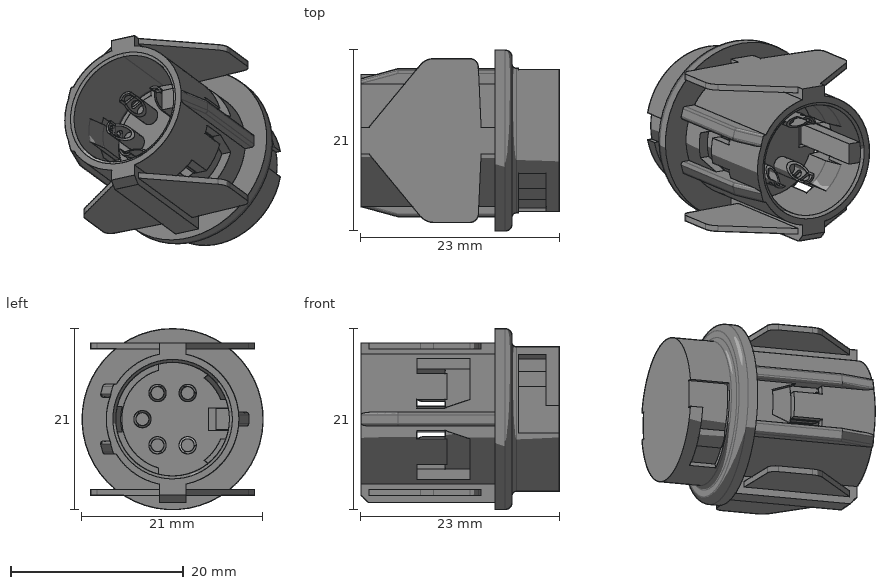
import cadquery as cq
import math

length = 23.0
flange_start = 15.52
flange_end = 17.53
flange_radius = 21.0 / 2
flange_round = 0.83
collar_round = 0.48
sleeve_radius = 16.8 / 2
barrel_radius = 7.68

mouth_radius = 6.92
mouth_depth = 0.23
bore_radius = 6.58
floor_x = 9.78
step_radius = 5.89
step_y = 1.6
step_depth = 0.2

groove_start = 18.26
groove_end = 21.48
groove_radius = 7.82
entry_half_width = 1.6
track_angle = 63.0
bump_angle = 37.0
bump_radius = 1.77
bump_offset = 6.35

spine_half_width = 3.05 / 2
spine_top = 8.83
spine_bottom = -9.65
spine_chamfer = 0.85
wing_thickness = 0.7
wing_half_span = 9.5
wing_root_front = 0.92
wing_root_rear = 13.94
wing_tip_front = 7.5
wing_tip_rear = 13.57
wing_front_round = 2.0
wing_rear_round = 1.0

rib_ramp_length = 4.3
rib_ramp_drop = 1.17
rib_edge_round = 0.32
rib_root = 6.2
front_rib_height = 8.83
front_rib_half_width = 0.8
back_rib_low = 2.53
back_rib_high = 4.05
back_rib_height_low = 8.45
back_rib_height_high = 8.03

window_start = 6.49
window_taper = 9.65
window_end = 12.63
arm_tip = 9.98
front_window_low = 1.29
front_window_y = 3.13
front_arm_low = 2.28
front_arm_high = 5.27
back_window_half = back_rib_low
back_arm_half = 1.5

hook_start = 3.85
hook_peak = 6.2
hook_radius = 6.03
hook_half_width = 2.92 / 2
front_hook_angle = 141.5
front_hook_reach = 2.3

contact_circle = 3.5
contact_angles = (0, 60, 120, -60, -120)
contact_radius = 2.0 / 2
cup_radius = 1.5 / 2
cup_start = 4.23
cup_bottom = 8.05
cup_lip = 0.45
cup_lip_end = 5.4
cup_closed = 7.43
cup_hole_radius = 1.2 / 2
cup_hole_places = (5.2, 6.95)

key_half_width = 1.22
key_inner = 5.01
key_slot_half_width = 1.29
key_slot_inner = 4.19
key_slot_depth = 0.92

overlap = 0.23
reach = 2 * flange_radius


def disc(x, radius, depth):
    return cq.Workplane("YZ", origin=(x, 0, 0)).circle(radius).extrude(depth)


def box(x, y, z):
    """Box between the given (low, high) limits on each axis."""
    size = (x[1] - x[0], y[1] - y[0], z[1] - z[0])
    return cq.Workplane("XY").box(*size, centered=False).translate((x[0], y[0], z[0]))


def revolve_about_x(outline):
    return outline.close().revolve(360, (0, 0, 0), (1, 0, 0))


def about_axis(shape, angle):
    return shape.rotate((0, 0, 0), (1, 0, 0), angle)


def shell_body():
    outline = (
        cq.Workplane("XZ")
        .lineTo(0, barrel_radius)
        .lineTo(flange_start, barrel_radius)
        .lineTo(flange_start, flange_radius)
        .lineTo(flange_end - flange_round, flange_radius)
        .radiusArc((flange_end, flange_radius - flange_round), flange_round)
        .lineTo(flange_end, sleeve_radius + collar_round)
        .radiusArc((flange_end + collar_round, sleeve_radius), -collar_round)
        .lineTo(length, sleeve_radius)
        .lineTo(length, 0)
    )
    return revolve_about_x(outline)


def socket_bore():
    outline = (
        cq.Workplane("XZ")
        .lineTo(0, mouth_radius)
        .lineTo(mouth_depth, bore_radius)
        .lineTo(floor_x, bore_radius)
        .lineTo(floor_x, 0)
    )
    return revolve_about_x(outline)


def insert_step():
    """Shallow ring sector sunk around the +Y part of the insert face."""
    ring = disc(floor_x, bore_radius, step_depth).cut(disc(floor_x, step_radius, step_depth))
    return ring.intersect(box((0, length), (step_y, reach), (-reach, reach)))


def bayonet_groove():
    """L-shaped groove on the -Y side: an entry from the +X end and a track with a detent bump."""
    wall = math.radians(track_angle)
    track = (
        cq.Workplane("YZ", origin=(groove_start, 0, 0))
        .lineTo(0, -entry_half_width)
        .lineTo(-reach, -entry_half_width)
        .lineTo(-reach, reach * math.sin(wall))
        .lineTo(-reach * math.cos(wall), reach * math.sin(wall))
        .close()
        .extrude(groove_end - groove_start)
    )
    entry = box((groove_start, length), (-reach, 0), (-entry_half_width, entry_half_width))
    bump = disc(groove_start, bump_radius, length).translate((0, -bump_offset, 0))
    core = disc(groove_start, groove_radius, length).union(about_axis(bump, -bump_angle))
    return track.union(entry).cut(core)


def spine():
    bar = box((0, flange_start), (-spine_half_width, spine_half_width), (spine_bottom, spine_top))
    return bar.faces("<X").edges("<Z").chamfer(spine_chamfer)


def wing_plate():
    half_outline = [
        (wing_root_front, spine_half_width),
        (wing_tip_front, wing_half_span),
        (wing_tip_rear, wing_half_span),
        (wing_root_rear, spine_half_width),
    ]
    mirrored = [(x, -y) for x, y in reversed(half_outline)]
    plate = cq.Workplane("XY").polyline(half_outline + mirrored).close().extrude(wing_thickness)
    for x, radius in ((wing_tip_front, wing_front_round), (wing_tip_rear, wing_rear_round)):
        at_x = cq.selectors.BoxSelector((x - overlap, -reach, -reach), (x + overlap, reach, reach))
        plate = plate.edges("|Z").edges(at_x).fillet(radius)
    return plate


def guide_rib(z_low, z_high, height_low, height_high):
    """Rib on the +Y side with rounded outer edges, sinking toward the mouth at its front end."""
    straight = (
        cq.Workplane("YZ", origin=(rib_ramp_length, 0, 0))
        .moveTo(rib_root, z_low)
        .lineTo(height_low, z_low)
        .lineTo(height_high, z_high)
        .lineTo(rib_root, z_high)
        .close()
        .extrude(flange_start - rib_ramp_length)
    )
    outer_edges = cq.selectors.BoxSelector((0, rib_root + overlap, -reach), (length, reach, reach))
    straight = straight.edges("|X").edges(outer_edges).fillet(rib_edge_round)
    front_wire = straight.faces("<X").wires().val()
    ramp = cq.Solid.extrudeLinear(front_wire, [], cq.Vector(-rib_ramp_length, -rib_ramp_drop, 0))
    return straight.union(cq.Workplane(obj=ramp)).cut(socket_bore())


def front_window():
    """Opening on the -Y, +Z side around a snap arm; the insert shows behind the arm tip."""
    opening = (
        cq.Workplane("XZ", origin=(0, -front_window_y, 0))
        .moveTo(window_start, front_window_low)
        .lineTo(window_taper, front_window_low)
        .lineTo(window_end, front_arm_low)
        .lineTo(window_end, reach)
        .lineTo(window_start, reach)
        .close()
        .extrude(reach)
    )
    arm = box((window_start, arm_tip), (-reach, 0), (front_arm_low, front_arm_high))
    return opening.cut(arm).cut(disc(floor_x, bore_radius, length))


def back_window():
    """Opening on the +Y side around the third snap arm."""
    half_outline = [
        (window_start, back_window_half),
        (window_taper, back_window_half),
        (window_end, back_arm_half),
    ]
    mirrored = [(x, -z) for x, z in reversed(half_outline)]
    opening = cq.Workplane("XZ").polyline(half_outline + mirrored).close().extrude(-reach)
    arm = box((window_start, arm_tip), (0, reach), (-back_arm_half, back_arm_half))
    return opening.cut(arm).cut(disc(floor_x, bore_radius, length))


def snap_hook(upper_width):
    """Ramped hook inside the bore on the +Y side, reaching upper_width above its middle."""
    root_radius = bore_radius + overlap
    ramp_run = (hook_peak - hook_start) / (bore_radius - hook_radius)
    ring = revolve_about_x(
        cq.Workplane("XZ")
        .moveTo(hook_start - overlap * ramp_run, root_radius)
        .lineTo(hook_peak, hook_radius)
        .lineTo(arm_tip, hook_radius)
        .lineTo(arm_tip, root_radius)
    )
    return ring.intersect(box((0, length), (0, reach), (-hook_half_width, upper_width)))


def front_hook():
    """Hook under the -Y, +Z snap arm, ending level with the lower edge of the arm."""
    above_edge = box((0, length), (-reach, reach), (front_arm_low, reach))
    return about_axis(snap_hook(front_hook_reach), front_hook_angle).intersect(above_edge)


def contact():
    """Contact on the +Y side; its solder cup opens toward the axis and has two cross holes."""
    body = disc(cup_start, contact_radius, floor_x + step_depth - cup_start)
    body = body.cut(disc(cup_start, cup_radius, cup_bottom - cup_start))
    opening = (
        cq.Workplane("XY", origin=(0, 0, -reach / 2))
        .moveTo(cup_start, cup_lip)
        .lineTo(cup_lip_end, cup_lip)
        .lineTo(cup_closed, -contact_radius)
        .lineTo(cup_start, -contact_radius)
        .close()
        .extrude(reach)
    )
    body = body.cut(opening)
    for x in cup_hole_places:
        hole = cq.Workplane("XZ", origin=(x, 0, 0)).circle(cup_hole_radius).extrude(-reach)
        body = body.cut(hole)
    return body.translate((0, contact_circle, 0))


def key_slot():
    slot = box(
        (floor_x, floor_x + key_slot_depth),
        (-reach, -key_slot_inner),
        (-key_slot_half_width, key_slot_half_width),
    )
    return slot.intersect(disc(floor_x, bore_radius, key_slot_depth))


def key():
    bar = box(
        (mouth_depth, floor_x + key_slot_depth),
        (-reach, -key_inner),
        (-key_half_width, key_half_width),
    )
    return bar.intersect(disc(0, bore_radius + overlap, length))


result = shell_body().union(spine()).cut(socket_bore())
result = result.cut(front_window()).cut(front_window().mirror("XY")).cut(back_window())
for angle in (0, 180):
    result = result.cut(about_axis(bayonet_groove(), angle))

for plate_z in (spine_top - wing_thickness, -spine_top):
    result = result.union(wing_plate().translate((0, 0, plate_z)))
front_rib = guide_rib(-front_rib_half_width, front_rib_half_width, front_rib_height, front_rib_height)
back_rib = guide_rib(back_rib_low, back_rib_high, back_rib_height_low, back_rib_height_high)
for rib in (about_axis(front_rib, 180), back_rib, back_rib.mirror("XY")):
    result = result.union(rib)

result = result.cut(insert_step()).cut(key_slot()).union(key())
for hook in (snap_hook(hook_half_width), front_hook(), front_hook().mirror("XY")):
    result = result.union(hook)
for angle in contact_angles:
    result = result.union(about_axis(contact(), angle))